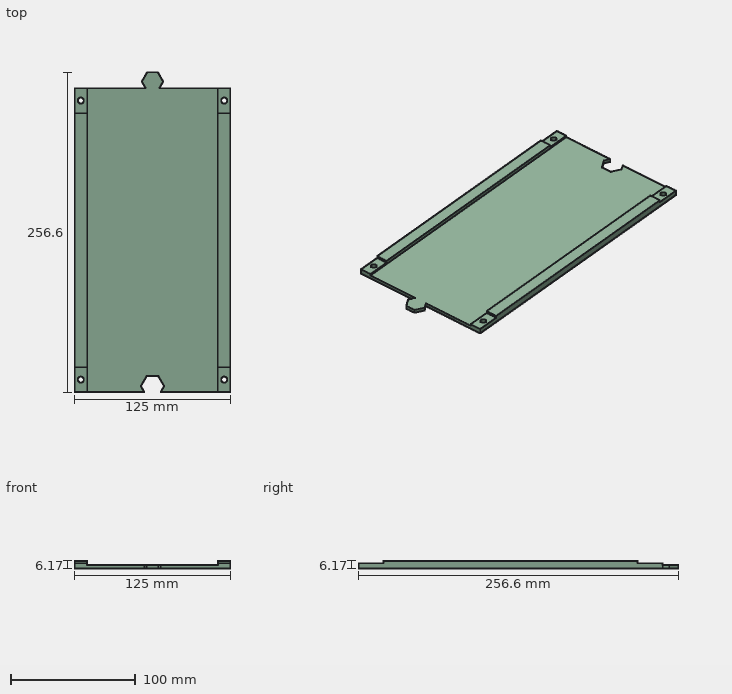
import cadquery as cq
import math

plate_width = 125.0
plate_length = 243.8
plate_thickness = 3.0

rail_width = 10.0
rail_height = 6.17
pad_length = 20.0
pad_height = 4.4
hole_diameter = 4.7

connector_reach = 12.75
tab_across_flats = 15.0
notch_across_flats = 16.0


def block(width, y_start, y_end, height, x_centre=0):
    """Upright block standing on Z = 0."""
    return (
        cq.Workplane("XY")
        .center(x_centre, (y_start + y_end) / 2)
        .rect(width, y_end - y_start)
        .extrude(height)
    )


def hexagon(across_flats, far_flat_y):
    """Hexagonal prism as thick as the plate, with its rear flat at far_flat_y."""
    corner_diameter = across_flats / math.cos(math.radians(30))
    return (
        cq.Workplane("XY")
        .center(0, far_flat_y - across_flats / 2)
        .polygon(6, corner_diameter)
        .extrude(plate_thickness)
    )


def rail(x_centre):
    """Full-length low strip with a taller stretch between its end pads."""
    low_strip = block(rail_width, 0, plate_length, pad_height, x_centre)
    tall_strip = block(rail_width, pad_length, plate_length - pad_length, rail_height, x_centre)
    return low_strip.union(tall_strip)


def screw_hole(x, y):
    """Cutter for a plain hole through a screw pad."""
    return cq.Workplane("XY").center(x, y).circle(hole_diameter / 2).extrude(pad_height)


body = block(plate_width, 0, plate_length, plate_thickness)
body = body.union(hexagon(tab_across_flats, plate_length + connector_reach))
body = body.cut(hexagon(notch_across_flats, connector_reach))

rail_x = (plate_width - rail_width) / 2
for x in (-rail_x, rail_x):
    body = body.union(rail(x))
    for y in (pad_length / 2, plate_length - pad_length / 2):
        body = body.cut(screw_hole(x, y))

result = body